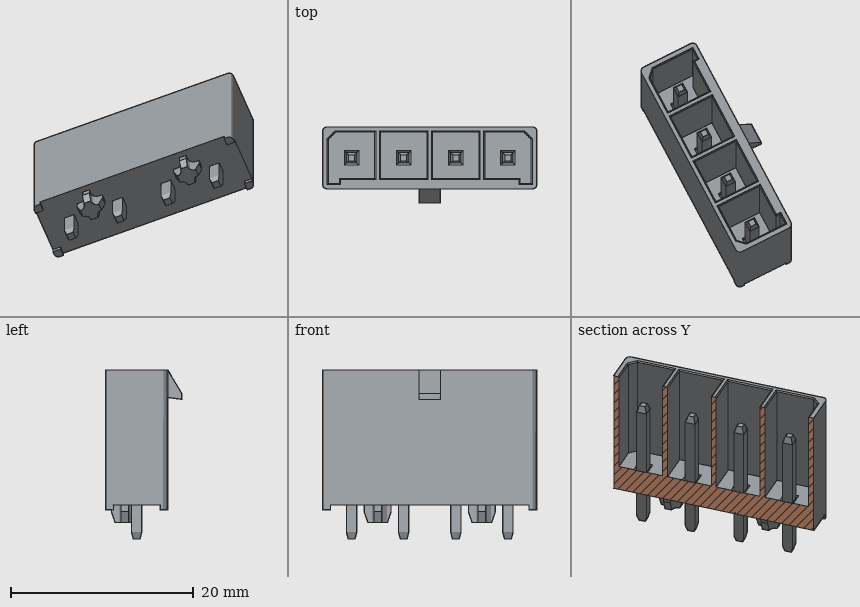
import cadquery as cq

LENGTH = 23.45
WIDTH = 6.8
FOOT_BOTTOM = -15.31
CORNER_RADIUS = 0.52
FOOT_HEIGHT = 0.55
FOOT_LENGTH = 0.9
FOOT_WIDTH = 0.85
UNDERSIDE = FOOT_BOTTOM + FOOT_HEIGHT

CONTACT_COUNT = 4
PITCH = 5.7
CONTACT_XS = [(i - (CONTACT_COUNT - 1) / 2) * PITCH for i in range(CONTACT_COUNT)]

CAVITY_SIZE = 5.32
BACK_WALL = 0.45
CAVITY_DEPTH = 11.72
CAVITY_FLOOR = -CAVITY_DEPTH
MOUTH_CHAMFER = 0.13
MOUTH_ANGLE = 45
CORNER_CUT = 0.87
KEYWAY_LENGTH = 1.48
KEYWAY_DEPTH = 0.55
CAVITY_BACK = WIDTH / 2 - BACK_WALL
CAVITY_FRONT = CAVITY_BACK - CAVITY_SIZE

PIN_SIZE = 1.15
PIN_BOTTOM = -18.5
PIN_TOP = -3.52
PIN_TAPER = 0.75
UPPER_TIP_SIZE = 0.65
LOWER_TIP_SIZE = 0.75
RECESS_SIZE = 1.6
RECESS_DEPTH = (RECESS_SIZE - PIN_SIZE) / 2

LATCH_LENGTH = 2.35
LATCH_REACH = 1.55
LATCH_RAMP_DROP = 2.58
LATCH_TIP_BOTTOM = 3.24
LATCH_ROOT_BOTTOM = 3.03

PEG_X = PITCH
PEG_Y = 1.3
PEG_SPAN = 2.98
PEG_TIP_SPAN = 2.15
PEG_HEIGHT = 1.92
PEG_STRAIGHT = 0.73
PEG_ARM = 0.8
PEG_FLUTE_RADIUS = (PEG_TIP_SPAN - PEG_ARM) / 2


def block(x0, x1, y0, y1, z0, z1):
    """Box between opposite corner coordinates."""
    return cq.Workplane("XY").box(x1 - x0, y1 - y0, z1 - z0, centered=False).translate((x0, y0, z0))


def square_frustum(x, z_start, size_start, z_end, size_end):
    """Square pyramid frustum on the contact row."""
    return (
        cq.Workplane("XY", origin=(x, 0, z_start))
        .rect(size_start, size_start)
        .workplane(offset=z_end - z_start)
        .rect(size_end, size_end)
        .loft(ruled=True)
    )


def housing():
    """Rounded block standing on four corner feet."""
    body = cq.Workplane("XY").rect(LENGTH, WIDTH).extrude(FOOT_BOTTOM).edges("|Z").fillet(CORNER_RADIUS)
    half_gap_x = LENGTH / 2 - FOOT_LENGTH
    half_gap_y = WIDTH / 2 - FOOT_WIDTH
    body = body.cut(block(-half_gap_x, half_gap_x, -WIDTH, WIDTH, FOOT_BOTTOM, UNDERSIDE))
    return body.cut(block(-LENGTH, LENGTH, -half_gap_y, half_gap_y, FOOT_BOTTOM, UNDERSIDE))


def middle_mouth(x):
    """Square outline of a middle cavity at its mouth."""
    left = x - CAVITY_SIZE / 2
    right = x + CAVITY_SIZE / 2
    return [(left, CAVITY_FRONT), (right, CAVITY_FRONT), (right, CAVITY_BACK), (left, CAVITY_BACK)]


def end_mouth(x, outward):
    """Mouth outline with a cut back corner and a front keyway on the outward side (-1 or 1 along X)."""
    outer = x + outward * CAVITY_SIZE / 2
    inner = x - outward * CAVITY_SIZE / 2
    keyway_end = outer - outward * KEYWAY_LENGTH
    return [
        (outer, CAVITY_FRONT - KEYWAY_DEPTH),
        (keyway_end, CAVITY_FRONT - KEYWAY_DEPTH),
        (keyway_end, CAVITY_FRONT),
        (inner, CAVITY_FRONT),
        (inner, CAVITY_BACK),
        (outer - outward * CORNER_CUT, CAVITY_BACK),
        (outer, CAVITY_BACK - CORNER_CUT),
    ]


def cavity(outline):
    """Cavity volume: a shaft smaller than the mouth outline, flared up to it at the top."""
    shaft = (
        cq.Workplane("XY")
        .polyline(outline)
        .close()
        .offset2D(-MOUTH_CHAMFER, "intersection")
        .extrude(-CAVITY_DEPTH)
    )
    flare = cq.Workplane("XY").polyline(outline).close().extrude(-MOUTH_CHAMFER, taper=MOUTH_ANGLE)
    return shaft.union(flare)


def pin(x):
    """Square pin tapered at both ends."""
    upper_shoulder = PIN_TOP - PIN_TAPER
    lower_shoulder = PIN_BOTTOM + PIN_TAPER
    half = PIN_SIZE / 2
    shank = block(x - half, x + half, -half, half, lower_shoulder, upper_shoulder)
    upper_tip = square_frustum(x, upper_shoulder, PIN_SIZE, PIN_TOP, UPPER_TIP_SIZE)
    lower_tip = square_frustum(x, lower_shoulder, PIN_SIZE, PIN_BOTTOM, LOWER_TIP_SIZE)
    return shank.union(upper_tip).union(lower_tip)


def latch():
    """Ramp with an undercut lower face, centred on the front of the housing."""
    root_y = -WIDTH / 2
    tip_y = root_y - LATCH_REACH
    profile = [
        (root_y, 0),
        (tip_y, -LATCH_RAMP_DROP),
        (tip_y, -LATCH_TIP_BOTTOM),
        (root_y, -LATCH_ROOT_BOTTOM),
    ]
    return cq.Workplane("YZ").polyline(profile).close().extrude(LATCH_LENGTH / 2, both=True)


def peg_arms():
    """Pair of opposite peg arms along X, tapered towards the bottom."""
    half = PEG_SPAN / 2
    half_tip = PEG_TIP_SPAN / 2
    profile = [
        (-half, 0),
        (half, 0),
        (half, -PEG_STRAIGHT),
        (half_tip, -PEG_HEIGHT),
        (-half_tip, -PEG_HEIGHT),
        (-half, -PEG_STRAIGHT),
    ]
    return cq.Workplane("XZ").polyline(profile).close().extrude(PEG_ARM / 2, both=True)


def peg(x):
    """Cross-shaped peg with concave fillets between its four arms."""
    core = cq.Workplane("XY").rect(PEG_TIP_SPAN, PEG_TIP_SPAN).extrude(-PEG_HEIGHT)
    flutes = (
        cq.Workplane("XY")
        .rect(PEG_TIP_SPAN, PEG_TIP_SPAN, forConstruction=True)
        .vertices()
        .circle(PEG_FLUTE_RADIUS)
        .extrude(-PEG_HEIGHT)
    )
    arms = peg_arms()
    cross = core.cut(flutes).union(arms).union(arms.rotate((0, 0, 0), (0, 0, 1), 90))
    return cross.translate((x, PEG_Y, UNDERSIDE))


result = housing()

mouths = [end_mouth(CONTACT_XS[0], -1), end_mouth(CONTACT_XS[-1], 1)]
mouths += [middle_mouth(x) for x in CONTACT_XS[1:-1]]
for mouth in mouths:
    result = result.cut(cavity(mouth))

for contact_x in CONTACT_XS:
    recess = square_frustum(contact_x, CAVITY_FLOOR, RECESS_SIZE, CAVITY_FLOOR - RECESS_DEPTH, PIN_SIZE)
    result = result.cut(recess).union(pin(contact_x))

for peg_x in (-PEG_X, PEG_X):
    result = result.union(peg(peg_x))
result = result.union(latch())